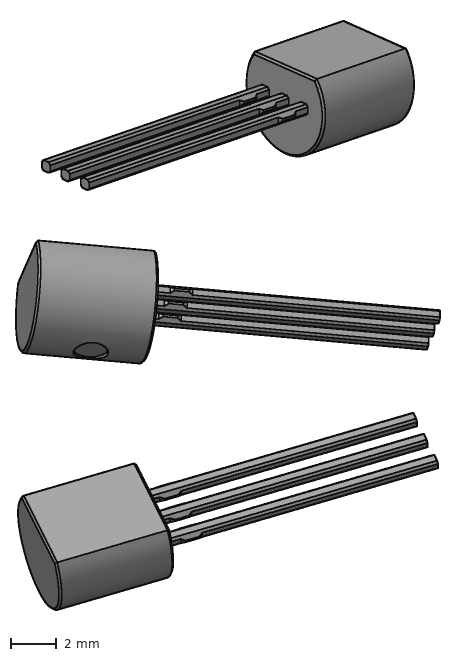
import cadquery as cq

body_radius = 2.6
body_height = 4.2
body_length = 5.34
end_chamfer = 0.1

mark_radius = 0.75
mark_depth = 0.18
mark_from_back = 2.83

overall_length = 18.03
lead_count = 3
lead_pitch = 1.28
lead_width = 0.55
lead_thickness = 0.5
lead_bevel = 0.1

stub_tip_width = 0.74
stub_tip_length = 0.65
stub_root_length = 1.01
stub_middle = 1.2

lead_length = overall_length - body_length


def make_body():
    """Body with its front face at Y = 0 and its axis on the Y axis."""
    round_bar = cq.Workplane("XZ").circle(body_radius).extrude(-body_length)
    block = cq.Workplane("XY").box(
        2 * body_radius, body_length, body_height, centered=(True, False, False)
    )
    body = round_bar.intersect(block.translate((0, 0, -body_radius)))
    return body.faces("<Y or >Y").chamfer(end_chamfer)


def make_ejector_mark():
    """Cylinder that sinks the round mark into the underside."""
    return (
        cq.Workplane("XY", origin=(0, body_length - mark_from_back, -body_radius))
        .circle(mark_radius)
        .extrude(mark_depth)
    )


def make_bevelled_bar(width, length, bevel):
    """Bar running from Y = 0 toward -Y, with its long edges bevelled at 45 degrees."""
    bar = cq.Workplane("XZ").rect(width, lead_thickness).extrude(length)
    return bar.edges("|Y").chamfer(bevel)


def make_stub_outline():
    """Plate across the lead, tapering from its roots on the lead to both tips."""
    root_x = lead_width / 2
    tip_x = stub_tip_width / 2
    half_root = stub_root_length / 2
    half_tip = stub_tip_length / 2
    return (
        cq.Workplane("XY", origin=(0, -stub_middle, 0))
        .moveTo(-root_x, half_root)
        .lineTo(root_x, half_root)
        .lineTo(tip_x, half_tip)
        .lineTo(tip_x, -half_tip)
        .lineTo(root_x, -half_root)
        .lineTo(-root_x, -half_root)
        .lineTo(-tip_x, -half_tip)
        .lineTo(-tip_x, half_tip)
        .close()
        .extrude(lead_thickness / 2, both=True)
    )


def make_lead():
    """One straight lead with its stubs, whose bevels continue those of the lead."""
    lead = make_bevelled_bar(lead_width, lead_length, lead_bevel)
    stub_bevel = lead_bevel + (stub_tip_width - lead_width) / 2
    stub_section = make_bevelled_bar(stub_tip_width, lead_length, stub_bevel)
    return lead.union(make_stub_outline().intersect(stub_section))


result = make_body().cut(make_ejector_mark())
for index in range(lead_count):
    lead_x = (index - (lead_count - 1) / 2) * lead_pitch
    result = result.union(make_lead().translate((lead_x, 0, 0)))